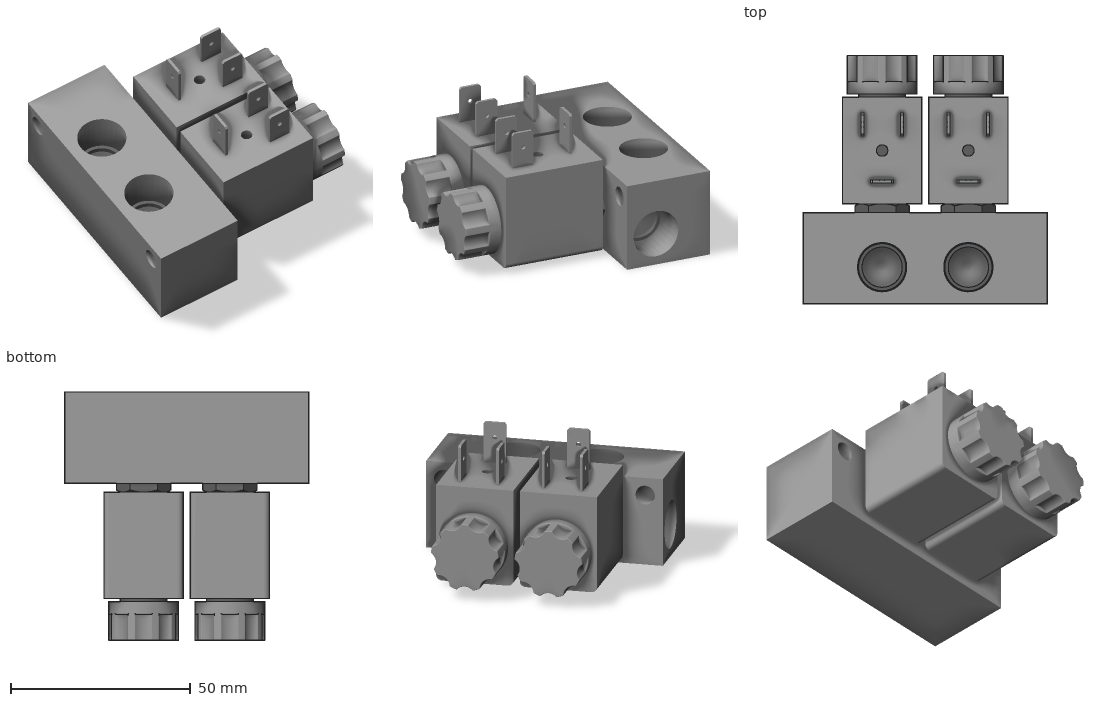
import cadquery as cq
import math


OVERLAP = 0.35

BLOCK_LENGTH = 68.0
BLOCK_DEPTH = 25.5
BLOCK_HEIGHT = 25.4
MOUNT_HOLE_DIAMETER = 5.55
MOUNT_HOLE_INSET = 5.05

PORT_MOUTH_DIAMETER = 13.7
PORT_FLOOR_DIAMETER = 13.15
PORT_THREAD_DEPTH = 11.1
PORT_DRILL_DIAMETER = 11.2
PORT_DRILL_DEPTH = 12.45
DRILL_TIP_ANGLE = 118.0
TOP_PORT_Y = 10.25
END_PORT_Y = 16.6
END_PORT_Z = 9.35

VALVE_PITCH = 24.0
VALVE_AXIS_Z = BLOCK_HEIGHT / 2
VALVE_XS = (-VALVE_PITCH / 2, VALVE_PITCH / 2)

COLLAR_DIAMETER = 13.15
NUT_ACROSS_CORNERS = COLLAR_DIAMETER / math.cos(math.pi / 6)
NUT_LENGTH = 2.4
NUT_BEVEL_ANGLE = 30.0

COIL_WIDTH = 22.15
COIL_LENGTH = 29.7
COIL_BOTTOM_Z = 1.6
COIL_TOP_Z = 29.55
COIL_FILLET = 1.6
COIL_START_Y = BLOCK_DEPTH + NUT_LENGTH
COIL_END_Y = COIL_START_Y + COIL_LENGTH
COIL_MID_Y = (COIL_START_Y + COIL_END_Y) / 2
SCREW_HOLE_DIAMETER = 3.2
SCREW_HOLE_DEPTH = 6.9

TERMINAL_WIDTH = 6.45
TERMINAL_THICKNESS = 0.8
TERMINAL_CHAMFER = 0.55
TERMINAL_HOLE_DIAMETER = 1.4
TERMINAL_HOLE_DROP = 4.6
CONTACT_TOP_Z = 40.0
CONTACT_SPACING = 10.95
CONTACT_Y = COIL_MID_Y + 7.2
GROUND_TOP_Z = 41.3
GROUND_Y = COIL_MID_Y - 8.65

CAP_DIAMETER = 19.5
CAP_LENGTH = 10.8
CAP_END_Y = 69.2
CAP_START_Y = CAP_END_Y - CAP_LENGTH
CAP_FILLET = 0.2
SCALLOP_COUNT = 9
SCALLOP_LENGTH = 7.3
SCALLOP_WIDTH = 4.65
SCALLOP_RADIUS = 3.1


def rod(diameter, x, start_y, length):
    """Cylinder on a valve axis, running in +Y."""
    circle = cq.Workplane("XZ", origin=(x, start_y, VALVE_AXIS_Z)).circle(diameter / 2)
    return circle.extrude(-length)


def port_cutter():
    """Tapered port with a pointed drill hole, its mouth at the origin and pointing down -Z."""
    drill_radius = PORT_DRILL_DIAMETER / 2
    tip_depth = PORT_DRILL_DEPTH + drill_radius / math.tan(math.radians(DRILL_TIP_ANGLE / 2))
    profile = (
        cq.Workplane("XZ")
        .moveTo(0, 0)
        .lineTo(PORT_MOUTH_DIAMETER / 2, 0)
        .lineTo(PORT_FLOOR_DIAMETER / 2, -PORT_THREAD_DEPTH)
        .lineTo(drill_radius, -PORT_THREAD_DEPTH)
        .lineTo(drill_radius, -PORT_DRILL_DEPTH)
        .lineTo(0, -tip_depth)
        .close()
    )
    return profile.revolve(360, (0, 0, 0), (0, 1, 0))


def manifold_block():
    block = cq.Workplane("XY").box(BLOCK_LENGTH, BLOCK_DEPTH, BLOCK_HEIGHT, centered=(True, False, False))
    mount_x = BLOCK_LENGTH / 2 - MOUNT_HOLE_INSET
    mount_holes = (
        cq.Workplane("XZ", origin=(0, 0, BLOCK_HEIGHT - MOUNT_HOLE_INSET))
        .pushPoints([(-mount_x, 0), (mount_x, 0)])
        .circle(MOUNT_HOLE_DIAMETER / 2)
        .extrude(-BLOCK_DEPTH)
    )
    block = block.cut(mount_holes)
    for x in VALVE_XS:
        block = block.cut(port_cutter().translate((x, TOP_PORT_Y, BLOCK_HEIGHT)))
    end_port = port_cutter().rotate((0, 0, 0), (0, 1, 0), -90)
    return block.cut(end_port.translate((-BLOCK_LENGTH / 2, END_PORT_Y, END_PORT_Z)))


def nut(x):
    """Hexagonal nut with its corners bevelled on the coil side."""
    hexagon = (
        cq.Workplane("XZ", origin=(x, BLOCK_DEPTH - OVERLAP, VALVE_AXIS_Z))
        .polygon(6, NUT_ACROSS_CORNERS)
        .extrude(-(NUT_LENGTH + OVERLAP))
    )
    cone_spread = (NUT_LENGTH + OVERLAP) / math.tan(math.radians(NUT_BEVEL_ANGLE))
    bevel_cone = (
        cq.Workplane("XZ", origin=(x, COIL_START_Y, VALVE_AXIS_Z))
        .circle(COLLAR_DIAMETER / 2)
        .workplane(offset=NUT_LENGTH + OVERLAP)
        .circle(COLLAR_DIAMETER / 2 + cone_spread)
        .loft()
    )
    return hexagon.intersect(bevel_cone)


def terminal(top_z):
    """Upright blade facing Y, with chamfered top corners and a small hole."""
    bottom_z = COIL_TOP_Z - OVERLAP
    blade = (
        cq.Workplane("XY", origin=(0, 0, bottom_z))
        .box(TERMINAL_WIDTH, TERMINAL_THICKNESS, top_z - bottom_z, centered=(True, True, False))
        .edges("|Y and >Z")
        .chamfer(TERMINAL_CHAMFER)
    )
    hole = (
        cq.Workplane("XZ", origin=(0, 0, top_z - TERMINAL_HOLE_DROP))
        .circle(TERMINAL_HOLE_DIAMETER / 2)
        .extrude(TERMINAL_THICKNESS, both=True)
    )
    return blade.cut(hole)


def coil(x):
    """Coil housing with a blind screw hole between its three terminals."""
    housing = (
        cq.Workplane("XY", origin=(x, COIL_START_Y, COIL_BOTTOM_Z))
        .box(COIL_WIDTH, COIL_LENGTH, COIL_TOP_Z - COIL_BOTTOM_Z, centered=(True, False, False))
        .edges("|Y and <Z")
        .fillet(COIL_FILLET)
    )
    screw_hole = (
        cq.Workplane("XY", origin=(x, COIL_MID_Y, COIL_TOP_Z))
        .circle(SCREW_HOLE_DIAMETER / 2)
        .extrude(-SCREW_HOLE_DEPTH)
    )
    housing = housing.cut(screw_hole)
    contact = terminal(CONTACT_TOP_Z).rotate((0, 0, 0), (0, 0, 1), 90)
    for side in (-1, 1):
        housing = housing.union(contact.translate((x + side * CONTACT_SPACING / 2, CONTACT_Y, 0)))
    return housing.union(terminal(GROUND_TOP_Z).translate((x, GROUND_Y, 0)))


def cap(x):
    """Round cap with hollow finger scallops open at its outer end; one scallop points straight down."""
    body = rod(CAP_DIAMETER, x, CAP_START_Y, CAP_LENGTH)
    half_chord = SCALLOP_WIDTH / 2
    scallop_orbit = math.sqrt((CAP_DIAMETER / 2) ** 2 - half_chord**2) + math.sqrt(
        SCALLOP_RADIUS**2 - half_chord**2
    )
    scallops = (
        cq.Workplane("XZ", origin=(x, CAP_END_Y - SCALLOP_LENGTH, VALVE_AXIS_Z))
        .polarArray(scallop_orbit, -90, 360, SCALLOP_COUNT)
        .circle(SCALLOP_RADIUS)
        .extrude(-(SCALLOP_LENGTH + OVERLAP))
    )
    body = body.cut(scallops)
    outer_face = body.faces("%CYLINDER").faces(cq.selectors.AreaNthSelector(-1))
    outer_end = cq.selectors.BoxSelector(
        (x - CAP_DIAMETER, CAP_END_Y - SCALLOP_LENGTH - OVERLAP, VALVE_AXIS_Z - CAP_DIAMETER),
        (x + CAP_DIAMETER, CAP_END_Y + OVERLAP, VALVE_AXIS_Z + CAP_DIAMETER),
    )
    scallop_mouths = outer_face.edges(outer_end)
    return scallop_mouths.add(body.faces(">Y").edges()).fillet(CAP_FILLET)


result = manifold_block()
for valve_x in VALVE_XS:
    collar = rod(COLLAR_DIAMETER, valve_x, COIL_END_Y - OVERLAP, CAP_START_Y - COIL_END_Y + 2 * OVERLAP)
    for piece in (nut(valve_x), coil(valve_x), collar, cap(valve_x)):
        result = result.union(piece)